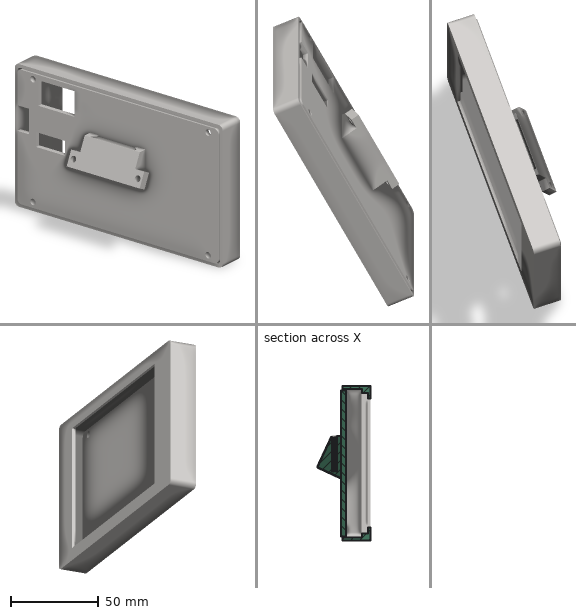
import cadquery as cq
import math


TOTAL_DEPTH = 30.7

HOUSING_WIDTH = 151.0
HOUSING_HEIGHT = 88.5
HOUSING_DEPTH = 16.2
HOUSING_RADIUS = 3.0
WALL = 2.0
CAVITY_RADIUS = 2.5
BEZEL_THICKNESS = 1.7
LEDGE_DEPTH = 5.1
POCKET_HALF_WIDTH = 61.6
POCKET_HALF_HEIGHT = 40.0
WINDOW_HALF_WIDTH = 55.5
WINDOW_HALF_HEIGHT = 36.7
DISPLAY_X = 2.0

LID_GAP = 0.5
LID_THICKNESS = 3.0
LID_PROUD = 0.85
LID_RADIUS = 3.0
LID_DROP = 0.2
SCREW_DIAMETER = 4.0
LID_HOLE_SPACING_X = 127.1
LID_HOLE_SPACING_Z = 76.1

LARGE_OPENING = (-57.7, -31.5, 22.5, 38.4)
SMALL_OPENING = (-59.5, -38.4, -3.5, 5.7)
EDGE_NOTCH = (-HOUSING_WIDTH / 2 + WALL, -64.5, 3.0, 18.9)

TILT = 25.0
TIP_Z = -2.4
FACE_LENGTH = 20.0
BODY_WIDTH = 40.0
EAR_SPAN = 53.0
EAR_LENGTH = 10.0
EAR_THICKNESS = 5.0
EAR_HOLE_SPACING = 46.7

RAIL_NECK_HALF_WIDTH = 13.7
RAIL_HEAD_HALF_WIDTH = 15.3
RAIL_NECK_HEIGHT = 2.0
RAIL_HEAD_START = 3.5
RAIL_HEIGHT = 4.1
SLOT_NECK_HALF_WIDTH = 13.9
SLOT_HEAD_HALF_WIDTH = 16.2
SLOT_NECK_HEIGHT = 1.8
SLOT_HEAD_START = 3.2
SLOT_DEPTH = 5.0
SLOT_FLOOR_Z = -4.5
RAIL_TOP_DROP = 0.9

LID_FACE_Y = -HOUSING_DEPTH - LID_PROUD
BRACKET_REACH = TOTAL_DEPTH + LID_FACE_Y
TILT_RADIANS = math.radians(TILT)
BRACKET_TOP_Z = TIP_Z + FACE_LENGTH * math.cos(TILT_RADIANS)
BRACKET_BOTTOM_Z = TIP_Z - BRACKET_REACH * math.tan(TILT_RADIANS)
BRACKET_TOP_REACH = BRACKET_REACH - FACE_LENGTH * math.sin(TILT_RADIANS)


def block(left, right, bottom, top, y_start, y_end):
    """Box between two X, two Z and two Y places, with y_start > y_end."""
    return (
        cq.Workplane("XY")
        .box(right - left, y_start - y_end, top - bottom, centered=False)
        .translate((left, y_end, bottom))
    )


def centred_block(half_width, half_height, y_start, y_end, centre_x=0.0):
    """Box that is symmetric about z = 0 and x = centre_x."""
    return block(centre_x - half_width, centre_x + half_width, -half_height, half_height, y_start, y_end)


def dovetail(neck_half_width, head_half_width, neck_height, head_start, height, top):
    """Upright prism on the lid face, from the slot floor up, whose neck flares to a wider head."""
    right_side = [
        (neck_half_width, 0),
        (neck_half_width, -neck_height),
        (head_half_width, -head_start),
        (head_half_width, -height),
    ]
    left_side = [(-x, y) for x, y in reversed(right_side)]
    return (
        cq.Workplane("XY", origin=(0, LID_FACE_Y, SLOT_FLOOR_Z))
        .polyline(right_side + left_side)
        .close()
        .extrude(top - SLOT_FLOOR_Z)
    )


def make_housing():
    """Open tray with a stepped display pocket and a window through its bezel."""
    housing = centred_block(HOUSING_WIDTH / 2, HOUSING_HEIGHT / 2, 0, -HOUSING_DEPTH)
    housing = housing.edges("|Y").fillet(HOUSING_RADIUS)
    cavity = centred_block(
        HOUSING_WIDTH / 2 - WALL, HOUSING_HEIGHT / 2 - WALL, -LEDGE_DEPTH, -HOUSING_DEPTH
    )
    cavity = cavity.edges("|Y").fillet(CAVITY_RADIUS)
    pocket = centred_block(
        POCKET_HALF_WIDTH, POCKET_HALF_HEIGHT, -BEZEL_THICKNESS, -LEDGE_DEPTH, DISPLAY_X
    )
    window = centred_block(WINDOW_HALF_WIDTH, WINDOW_HALF_HEIGHT, 0, -BEZEL_THICKNESS, DISPLAY_X)
    return housing.cut(cavity).cut(pocket).cut(window)


def make_lid():
    """Plate in the housing's mouth with openings, screw holes and the dovetail rail."""
    inset = WALL + LID_GAP
    inner_y = LID_FACE_Y + LID_THICKNESS
    lid = centred_block(HOUSING_WIDTH / 2 - inset, HOUSING_HEIGHT / 2 - inset, inner_y, LID_FACE_Y)
    lid = lid.edges("|Y").fillet(LID_RADIUS).translate((0, 0, -LID_DROP))
    for opening in (LARGE_OPENING, SMALL_OPENING, EDGE_NOTCH):
        lid = lid.cut(block(*opening, inner_y, LID_FACE_Y))
    holes = (
        cq.Workplane("XZ", origin=(DISPLAY_X, inner_y, -LID_DROP))
        .rarray(LID_HOLE_SPACING_X, LID_HOLE_SPACING_Z, 2, 2)
        .circle(SCREW_DIAMETER / 2)
        .extrude(LID_THICKNESS)
    )
    rail = dovetail(
        RAIL_NECK_HALF_WIDTH,
        RAIL_HEAD_HALF_WIDTH,
        RAIL_NECK_HEIGHT,
        RAIL_HEAD_START,
        RAIL_HEIGHT,
        BRACKET_TOP_Z - RAIL_TOP_DROP,
    )
    return lid.cut(holes).union(rail)


def make_bracket():
    """Wedge with two screw ears along its lower edge and a slot that is open at the top."""
    body = (
        cq.Workplane("YZ", origin=(-BODY_WIDTH / 2, LID_FACE_Y, 0))
        .polyline(
            [
                (0, BRACKET_BOTTOM_Z),
                (-BRACKET_REACH, TIP_Z),
                (-BRACKET_TOP_REACH, BRACKET_TOP_Z),
                (0, BRACKET_TOP_Z),
            ]
        )
        .close()
        .extrude(BODY_WIDTH)
    )
    ears = block(-EAR_SPAN / 2, EAR_SPAN / 2, 0, EAR_LENGTH, EAR_THICKNESS, 0)
    holes = (
        cq.Workplane("XZ", origin=(0, EAR_THICKNESS, EAR_LENGTH / 2))
        .rarray(EAR_HOLE_SPACING, 1.5, 2, 1)
        .circle(SCREW_DIAMETER / 2)
        .extrude(EAR_THICKNESS)
    )
    ears = (
        ears.cut(holes)
        .rotate((0, 0, 0), (1, 0, 0), -TILT)
        .translate((0, LID_FACE_Y - BRACKET_REACH, TIP_Z))
    )
    slot = dovetail(
        SLOT_NECK_HALF_WIDTH,
        SLOT_HEAD_HALF_WIDTH,
        SLOT_NECK_HEIGHT,
        SLOT_HEAD_START,
        SLOT_DEPTH,
        BRACKET_TOP_Z,
    )
    return body.union(ears).cut(slot)


housing = make_housing()
lid = make_lid()
bracket = make_bracket()
result = cq.Compound.makeCompound([housing.val(), lid.val(), bracket.val()])